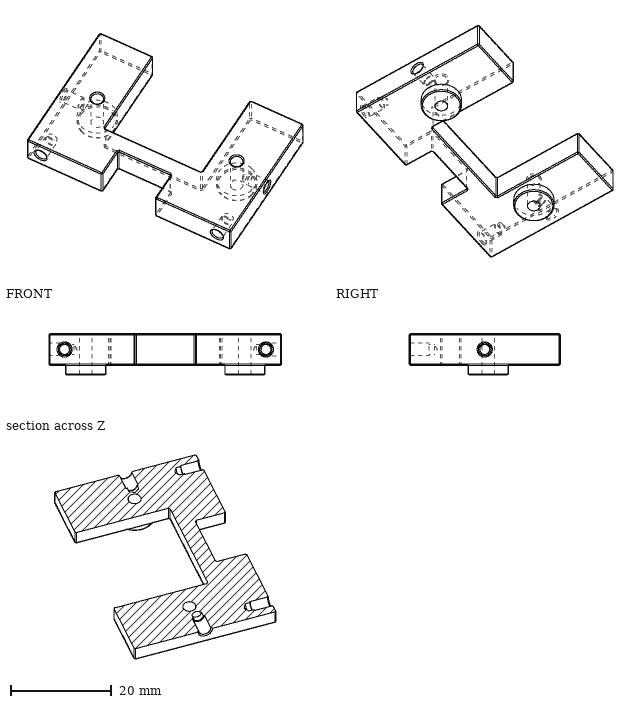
import cadquery as cq
import math

plate_length = 46.25
plate_width = 30.0
plate_thickness = 6.3
edge_chamfer = 0.25

slot_width = 22.0
slot_depth = 20.0
notch_width = 12.0
notch_depth = 6.48

boss_diameter = 8.0
boss_height = 1.95
boss_chamfer = 0.25
boss_spacing = 31.65
boss_y = 0.7

hole_diameter = 2.5
countersink_diameter = 3.0
pilot_diameter = 2.0
thread_depth = 4.0
pilot_depth = 5.0
drill_tip_angle = 118.0
front_hole_spacing = 40.0

half_length = plate_length / 2
half_width = plate_width / 2
mid_height = plate_thickness / 2
hole_radius = hole_diameter / 2
sink_radius = countersink_diameter / 2
sink_depth = sink_radius - hole_radius
pilot_radius = pilot_diameter / 2


def make_recess(width, depth, open_side):
    """Cutter for a recess open towards +Y (open_side = 1) or -Y (open_side = -1)."""
    center_y = open_side * (half_width - depth / 2)
    return (
        cq.Workplane("XY", origin=(0, center_y, 0))
        .rect(width, depth)
        .extrude(plate_thickness)
    )


def make_plate():
    """Slotted plate with every inner and outer edge chamfered."""
    plate = (
        cq.Workplane("XY")
        .rect(plate_length, plate_width)
        .extrude(plate_thickness)
        .cut(make_recess(slot_width, slot_depth, 1))
        .cut(make_recess(notch_width, notch_depth, -1))
    )
    plate = plate.edges("|Z").chamfer(edge_chamfer)
    return plate.faces("<Z or >Z").edges().chamfer(edge_chamfer)


def make_boss(x):
    """Round boss hanging from the underside, chamfered at its lower rim."""
    return (
        cq.Workplane("XY", origin=(x, boss_y, 0))
        .circle(boss_diameter / 2)
        .extrude(-boss_height)
        .faces("<Z")
        .chamfer(boss_chamfer)
    )


def revolve_hole(profile, entry, direction):
    """Turn (radius, depth) points into a hole cutter starting at the entry point."""
    cutter = cq.Workplane("XZ").polyline(profile).close().revolve(360, (0, 0, 0), (0, 1, 0))
    placement = cq.Plane(origin=entry, normal=direction).location
    return cutter.val().moved(placement)


def make_through_hole(x):
    """Hole along the boss axis, countersunk at the top face of the plate."""
    through_depth = plate_thickness + boss_height
    profile = [
        (0, 0),
        (sink_radius, 0),
        (hole_radius, sink_depth),
        (hole_radius, through_depth),
        (0, through_depth),
    ]
    return revolve_hole(profile, (x, boss_y, plate_thickness), (0, 0, -1))


def make_blind_hole(entry, direction):
    """Countersunk threaded bore on a narrower pilot that ends in a drill tip."""
    tip_length = pilot_radius / math.tan(math.radians(drill_tip_angle / 2))
    profile = [
        (0, 0),
        (sink_radius, 0),
        (hole_radius, sink_depth),
        (hole_radius, thread_depth),
        (pilot_radius, thread_depth),
        (pilot_radius, pilot_depth),
        (0, pilot_depth + tip_length),
    ]
    return revolve_hole(profile, entry, direction)


result = make_plate()

for side in (-1, 1):
    boss_x = side * boss_spacing / 2
    front_hole_x = side * front_hole_spacing / 2

    result = result.union(make_boss(boss_x))
    result = result.cut(make_through_hole(boss_x))
    result = result.cut(make_blind_hole((front_hole_x, -half_width, mid_height), (0, 1, 0)))
    result = result.cut(make_blind_hole((side * half_length, 0, mid_height), (-side, 0, 0)))